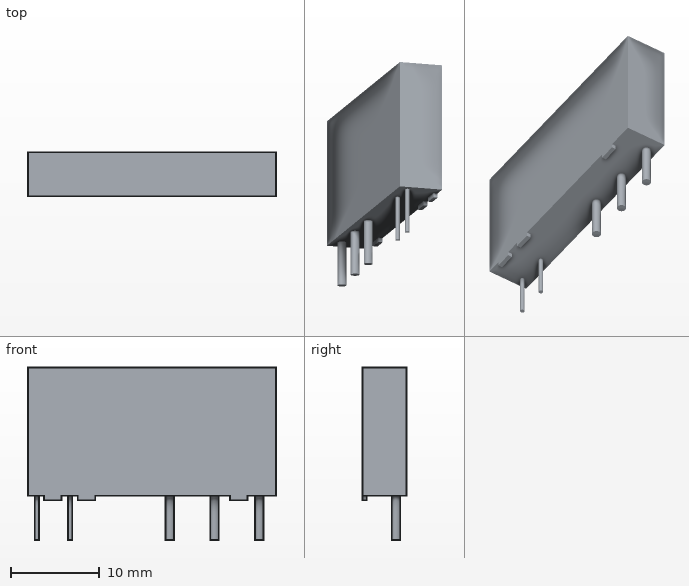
import cadquery as cq

housing_length = 28.0
housing_width = 5.0
housing_height = 14.5

foot_length = 2.0
foot_width = 0.5
foot_height = 0.5
foot_starts_x = [1.8, 5.6, 22.8]

pin_length = 5.0
pin_row_from_back = 1.2
pin_row_y = housing_width - pin_row_from_back

coil_pin_diameter = 0.5
first_coil_pin_x = 1.01
coil_pin_pitch = 3.75
coil_pin_count = 2

contact_pin_diameter = 1.0
coil_to_contact_gap = 11.25
first_contact_pin_x = first_coil_pin_x + (coil_pin_count - 1) * coil_pin_pitch + coil_to_contact_gap
contact_pin_pitch = 5.05
contact_pin_count = 3


def make_foot(start_x):
    """Small block under the housing, flush with its -Y face."""
    foot = cq.Workplane("XY").box(foot_length, foot_width, foot_height, centered=False)
    return foot.translate((start_x, 0, -foot_height))


def make_housing():
    """Plain rectangular case with its feet."""
    housing = cq.Workplane("XY").box(housing_length, housing_width, housing_height, centered=False)
    for start_x in foot_starts_x:
        housing = housing.union(make_foot(start_x))
    return housing


def make_pin(center_x, diameter):
    """Round pin hanging down from the underside of the housing."""
    return cq.Workplane("XY").center(center_x, pin_row_y).circle(diameter / 2).extrude(-pin_length)


def make_pin_row(first_x, pitch, count, diameter):
    """Equally spaced pins, each a separate solid."""
    return [make_pin(first_x + index * pitch, diameter).val() for index in range(count)]


housing = make_housing()
coil_pins = make_pin_row(first_coil_pin_x, coil_pin_pitch, coil_pin_count, coil_pin_diameter)
contact_pins = make_pin_row(
    first_contact_pin_x, contact_pin_pitch, contact_pin_count, contact_pin_diameter
)

result = cq.Compound.makeCompound([housing.val(), *coil_pins, *contact_pins])